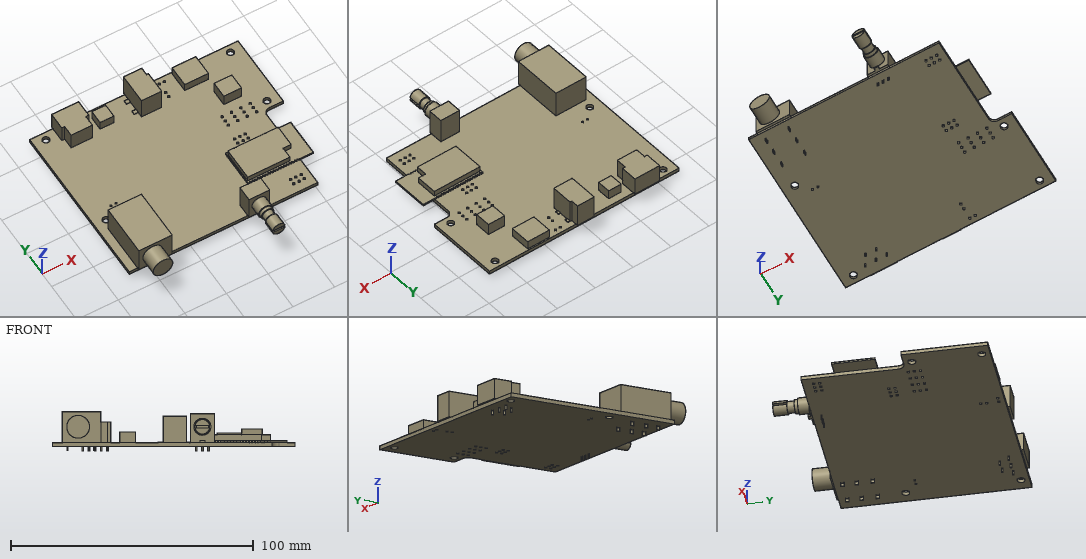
import cadquery as cq


five_pitches = 12.7
pin_pitch = five_pitches / 5

board_length = 100.0
board_width = 80.0
board_thickness = 1.7
notch_left = 90.5
notch_top = 43.6
notch_corner_radius = 2.8
mount_hole_diameter = 3.2
mount_left = 5.7
mount_right = 94.3
mount_rear = 76.5
mount_holes = [
    (mount_left, mount_rear),
    (mount_right, mount_rear),
    (mount_right, 47.2),
    (mount_left, 28.2),
]

terminal_column_pitch = 4.5
hole_groups = [
    (4, 3, terminal_column_pitch, pin_pitch, 1.0, (74.2, 44.5)),
    (3, 2, pin_pitch, pin_pitch, 1.0, (72.7, 34.5)),
    (3, 2, pin_pitch, pin_pitch, 1.0, (81.7, 4.6)),
    (2, 1, pin_pitch, pin_pitch, 1.0, (60.6, 77.4)),
    (1, 2, pin_pitch, pin_pitch, 1.0, (60.7, 69.8)),
    (2, 1, pin_pitch, pin_pitch, 0.8, (11.1, 33.4)),
]

front_face = -1.0
rear_face = board_width + 1.0
shaft_height = 6.5

barrel_left = 4.0
barrel_right = 20.0
barrel_back = 23.7
barrel_body_height = 12.7
barrel_x = 10.6
barrel_diameter = 9.4
barrel_end = -9.4
tab_thickness = 0.4
tab_width = 1.5
tab_length = 1.6
tab_columns = [6.3, 17.2]
tab_rows = [3.8, 9.8, 16.5]

pot_left = 56.9
pot_right = 66.8
pot_back = 6.3
pot_height = 11.9
shaft_x = 61.8
bushing_diameter = 7.0
bushing_end = -6.2
shaft_diameter = 6.0
groove_diameter = 5.0
groove_start = -7.7
groove_end = -10.8
shaft_end = -16.7
slot_width = 1.0
key_width = 2.0
key_height = 0.8
key_end = -2.2
pot_pin_width = 0.8
pot_pin_thickness = 0.3
pot_pin_y = 3.8
long_pin_length = 1.8

socket_left = 11.1
socket_right = 24.1
socket_step = 72.8
socket_inset = 1.4
socket_front = 67.6
socket_height = 8.5
socket_pin_diameter = 0.7
socket_rear_pin_y = 74.5
socket_front_pin_y = 70.3

audio_left = 45.6
audio_right = 55.3
audio_front = 66.5
audio_height = 10.9
audio_step_depth = 0.9
audio_step_y = 77.2
pad_left = 43.6
pad_right = 56.4
pad_width = 1.9
pad_thickness = 0.3
pad_rows = [70.0, 76.2]

small_box_size = (27.7, 69.8, 6.6, 6.6, 4.4)
flat_box_size = (67.9, 69.1, 11.4, 10.2, 4.0)
tall_box_size = (78.0, 54.6, 8.5, 7.8, 5.6)

module_left = 65.3
module_right = 96.7
module_front = 13.9
module_rear = 32.1
module_thickness = 0.8
can_left = 65.8
can_right = 89.9
can_front = 15.0
can_rear = 30.9
can_top = 3.3
can_corner_left = 86.1
can_corner_rear = 20.4
edge_notch_diameter = 0.8
edge_notch_count = 19
first_edge_notch_x = 66.4
edge_notch_pitch = pin_pitch / 2


def block(x0, x1, y0, y1, z0, z1):
    """Box between opposite corners."""
    return cq.Workplane("XY").box(x1 - x0, y1 - y0, z1 - z0, centered=False).translate((x0, y0, z0))


def on_board(x0, x1, y0, y1, height):
    """Box standing on the top face of the board."""
    return block(x0, x1, y0, y1, board_thickness, board_thickness + height)


def forward_cylinder(x, diameter, y_back, y_front):
    """Cylinder along Y at the shaft height, from y_back toward the front."""
    axis = cq.Workplane("XZ", origin=(x, y_back, board_thickness + shaft_height))
    return axis.circle(diameter / 2).extrude(y_back - y_front)


def flat_pins(points, size_x, size_y, length):
    """Rectangular pins from the top of the board to a length below its underside."""
    base = cq.Workplane("XY").workplane(offset=-length).pushPoints(points)
    return base.rect(size_x, size_y).extrude(board_thickness + length)


def round_pins(points, diameter, length):
    """Round pins, or hole cutters, from the top of the board to a length below its underside."""
    base = cq.Workplane("XY").workplane(offset=-length).pushPoints(points)
    return base.circle(diameter / 2).extrude(board_thickness + length)


def make_barrel_tabs():
    points = [(x, y) for x in tab_columns for y in tab_rows]
    return flat_pins(points, tab_thickness, tab_width, tab_length)


def make_pot_pins():
    points = [(shaft_x + i * pin_pitch, pot_pin_y) for i in (-1, 0, 1)]
    return flat_pins(points, pot_pin_width, pot_pin_thickness, long_pin_length)


def make_socket_pins():
    """Five pins staggered in two rows about the middle of the socket."""
    middle = (socket_left + socket_right) / 2
    points = [(middle + i * pin_pitch, socket_rear_pin_y) for i in (-2, 0, 2)]
    points += [(middle + i * pin_pitch, socket_front_pin_y) for i in (-1, 1)]
    return round_pins(points, socket_pin_diameter, long_pin_length)


def make_board():
    outline = [
        (0, 0),
        (notch_left, 0),
        (notch_left, notch_top),
        (board_length, notch_top),
        (board_length, board_width),
        (0, board_width),
    ]
    board = cq.Workplane("XY").polyline(outline).close().extrude(board_thickness)
    notch_corner = cq.selectors.NearestToPointSelector((notch_left, notch_top, board_thickness / 2))
    board = board.edges("|Z").edges(notch_corner).fillet(notch_corner_radius)
    board = board.cut(round_pins(mount_holes, mount_hole_diameter, 0))
    for columns, rows, column_pitch, row_pitch, diameter, (x, y) in hole_groups:
        points = [(x + i * column_pitch, y + j * row_pitch) for i in range(columns) for j in range(rows)]
        board = board.cut(round_pins(points, diameter, 0))
    for pins in (make_barrel_tabs(), make_pot_pins(), make_socket_pins()):
        board = board.cut(pins)
    return board


def make_barrel_jack():
    jack = on_board(barrel_left, barrel_right, front_face, barrel_back, barrel_body_height)
    jack = jack.union(forward_cylinder(barrel_x, barrel_diameter, front_face, barrel_end))
    return jack.union(make_barrel_tabs())


def make_potentiometer():
    pot = on_board(pot_left, pot_right, front_face, pot_back, pot_height)
    shaft_steps = [
        (bushing_diameter, front_face, bushing_end),
        (shaft_diameter, bushing_end, groove_start),
        (groove_diameter, groove_start, groove_end),
        (shaft_diameter, groove_end, shaft_end),
    ]
    for diameter, y_back, y_front in shaft_steps:
        pot = pot.union(forward_cylinder(shaft_x, diameter, y_back, y_front))
    slot_bottom = board_thickness + shaft_height - slot_width / 2
    slot = block(
        shaft_x - shaft_diameter,
        shaft_x + shaft_diameter,
        shaft_end,
        groove_end,
        slot_bottom,
        slot_bottom + slot_width,
    )
    pot = pot.cut(slot)
    key = on_board(shaft_x - key_width / 2, shaft_x + key_width / 2, key_end, front_face, key_height)
    return pot.union(key).union(make_pot_pins())


def make_modular_socket():
    wide = on_board(socket_left, socket_right, socket_step, rear_face, socket_height)
    narrow = on_board(
        socket_left + socket_inset, socket_right - socket_inset, socket_front, socket_step, socket_height
    )
    return wide.union(narrow).union(make_socket_pins())


def make_audio_socket():
    body = on_board(audio_left, audio_right, audio_front, rear_face, audio_height)
    step = on_board(audio_right - audio_step_depth, audio_right, audio_step_y, rear_face, audio_height)
    body = body.cut(step)
    for y in pad_rows:
        body = body.union(on_board(pad_left, pad_right, y - pad_width / 2, y + pad_width / 2, pad_thickness))
    return body


def make_component_box(left, front, length, width, height):
    return on_board(left, left + length, front, front + width, height)


def make_radio_module():
    module = on_board(module_left, module_right, module_front, module_rear, module_thickness)
    notches = [
        (first_edge_notch_x + i * edge_notch_pitch, y)
        for i in range(edge_notch_count)
        for y in (module_front, module_rear)
    ]
    cutters = cq.Workplane("XY").workplane(offset=board_thickness).pushPoints(notches)
    module = module.cut(cutters.circle(edge_notch_diameter / 2).extrude(module_thickness))
    can = on_board(can_left, can_right, can_front, can_rear, can_top)
    can = can.cut(on_board(can_corner_left, can_right, can_front, can_corner_rear, can_top))
    return module.union(can)


board = make_board()
barrel_jack = make_barrel_jack()
potentiometer = make_potentiometer()
modular_socket = make_modular_socket()
audio_socket = make_audio_socket()
component_boxes = [make_component_box(*size) for size in (small_box_size, flat_box_size, tall_box_size)]
radio_module = make_radio_module()

result = cq.Compound.makeCompound([
    board.val(),
    barrel_jack.val(),
    potentiometer.val(),
    modular_socket.val(),
    audio_socket.val(),
    *[box.val() for box in component_boxes],
    radio_module.val(),
])